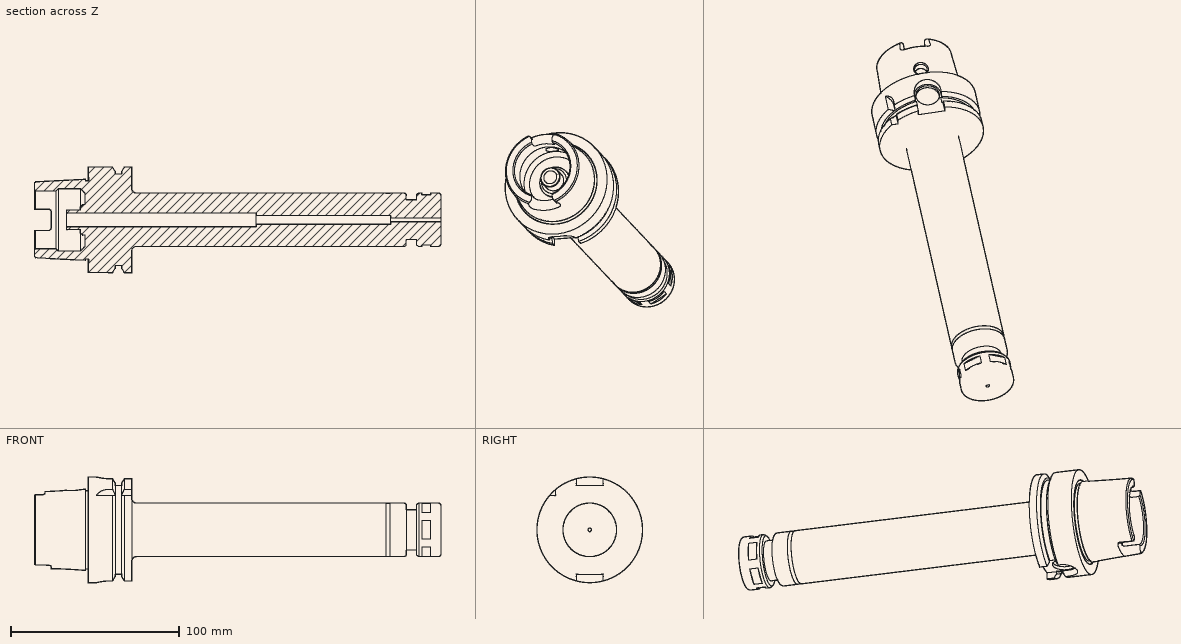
import cadquery as cq
import math


shank_length = 32.0
taper_ratio = 0.05
taper_seat_radius = 24.3
shank_tip_radius = taper_seat_radius - taper_ratio * shank_length
tip_chamfer = 0.8
relief_length = 1.5
relief_radius = 23.4
face_recess_radius = 25.4
face_recess_depth = 0.3

flange_radius = 31.5
flange_length = 26.0
groove_center = 18.0
groove_width = 3.75
groove_radius = 27.5
groove_bevel_length = 1.6
groove_bevel_depth = 2.6

body_radius = 16.0
body_root_fillet = 2.7
body_end = 189.4
body_end_fillet = 1.6
band_start = 177.2
band_end = 179.5
band_depth = 0.1
neck_radius = 12.0
nut_start = 195.3
nut_end = 210.0
nut_radius = 16.0
nut_back_bevel_length = 1.4
nut_back_bevel_depth = 0.9
nut_front_fillet = 1.7

flat_count = 6
flat_start = 198.6
flat_length = 5.1
flat_distance = 15.0
first_flat_angle = 90.0

mouth_radius = 17.9
bore_radius = 17.1
mouth_bevel = 0.8
bore_straight_end = -19.2
undercut_radius = 18.5
undercut_bevel = 1.4
undercut_end = -4.5
floor_rim_radius = 15.8
floor_depth = -2.0

boss_radius = 9.2
boss_bevel = 1.5
boss_front = -4.8
tube_radius = 6.0
tube_tip = -13.0
tube_tip_bevel = 0.35
tube_passage = [
    (4.0, 100.0),
    (2.5, 180.0),
    (1.0, nut_end),
]

drive_slot_half_width = 6.3
drive_slot_flare = 3.0
drive_slot_flare_start = 18.0
drive_slot_inner = 8.0
drive_slot_floor_fillet = 1.5
top_drive_slot_depth = 6.3
bottom_drive_slot_depth = 9.9

access_hole_x = -8.9
access_hole_radius = 3.75
access_hole_mouth_radius = 4.785
access_hole_inner = 12.0
access_hole_cone_rise = 0.5

keyway_x = 13.0
keyway_radius = 8.0
keyway_floor = 26.5
keyway_pocket_radius = 7.0
keyway_pocket_depth = 2.0
notch_x = 12.2
notch_end_radius = 9.0
notch_offset = 20.3

cut_margin = 5.0
pick_margin = 0.01


def revolve_x(points):
    """Revolve an (X, radius) outline about the X axis."""
    return cq.Workplane("XY").polyline(points).close().revolve(360, (0, 0, 0), (1, 0, 0))


def fillet_ring(body, x, radius, fillet_radius):
    """Round the circular edge of the given radius that lies at X = x."""
    corner = cq.selectors.BoxSelector(
        (x - pick_margin, -radius - pick_margin, -radius - pick_margin),
        (x + pick_margin, radius + pick_margin, radius + pick_margin),
        boundingbox=True,
    )
    edges = [
        edge for edge in body.edges(corner).vals()
        if edge.geomType() == "CIRCLE" and abs(edge.radius() - radius) < pick_margin
    ]
    return body.newObject(edges).fillet(fillet_radius)


def outer_body():
    relief_start_radius = taper_seat_radius - taper_ratio * relief_length
    groove_start = groove_center - groove_width / 2
    groove_end = groove_center + groove_width / 2
    groove_shoulder = flange_radius - groove_bevel_depth
    body = revolve_x([
        (-shank_length, 0),
        (-shank_length, shank_tip_radius - tip_chamfer),
        (-shank_length + tip_chamfer, shank_tip_radius),
        (-relief_length, relief_start_radius),
        (-relief_length, relief_radius),
        (face_recess_depth, relief_radius),
        (face_recess_depth, face_recess_radius - face_recess_depth),
        (0, face_recess_radius),
        (0, flange_radius),
        (groove_start - groove_bevel_length, flange_radius),
        (groove_start, groove_shoulder),
        (groove_start, groove_radius),
        (groove_end, groove_radius),
        (groove_end, groove_shoulder),
        (groove_end + groove_bevel_length, flange_radius),
        (flange_length, flange_radius),
        (flange_length, body_radius),
        (band_start, body_radius),
        (band_start, body_radius - band_depth),
        (band_end, body_radius - band_depth),
        (band_end, body_radius),
        (body_end, body_radius),
        (body_end, neck_radius),
        (nut_start, neck_radius),
        (nut_start, nut_radius - nut_back_bevel_depth),
        (nut_start + nut_back_bevel_length, nut_radius),
        (nut_end, nut_radius),
        (nut_end, 0),
    ])
    body = fillet_ring(body, flange_length, body_radius, body_root_fillet)
    body = fillet_ring(body, body_end, body_radius, body_end_fillet)
    return fillet_ring(body, nut_end, nut_radius, nut_front_fillet)


def bore():
    """Hollow of the shank around the coolant tube, with the passage through to the nut."""
    points = [
        (-shank_length, 0),
        (-shank_length, mouth_radius),
        (-shank_length + mouth_bevel, bore_radius),
        (bore_straight_end, bore_radius),
        (bore_straight_end + undercut_bevel, undercut_radius),
        (undercut_end, undercut_radius),
        (floor_depth, floor_rim_radius),
        (floor_depth, boss_radius),
        (boss_front + boss_bevel, boss_radius),
        (boss_front, boss_radius - boss_bevel),
        (boss_front, tube_radius),
        (tube_tip + tube_tip_bevel, tube_radius),
        (tube_tip, tube_radius - tube_tip_bevel),
    ]
    step_start = tube_tip
    for radius, step_end in tube_passage:
        points.append((step_start, radius))
        points.append((step_end, radius))
        step_start = step_end
    points.append((nut_end, 0))
    return revolve_x(points)


def drive_slot(depth):
    """Slot open to +Z and to the shank tip, with rounded outer edges."""
    flare_y = drive_slot_half_width + drive_slot_flare
    flare_z = drive_slot_flare_start + drive_slot_flare
    arc_in = drive_slot_flare * (1 - math.sqrt(0.5))
    arc_up = drive_slot_flare * math.sqrt(0.5)
    arc_y = drive_slot_half_width + arc_in
    arc_z = drive_slot_flare_start + arc_up
    slot_top = shank_tip_radius + cut_margin
    return (
        cq.Workplane("YZ", origin=(-shank_length - cut_margin, 0, 0))
        .moveTo(-drive_slot_half_width, drive_slot_inner)
        .lineTo(drive_slot_half_width, drive_slot_inner)
        .lineTo(drive_slot_half_width, drive_slot_flare_start)
        .threePointArc((arc_y, arc_z), (flare_y, flare_z))
        .lineTo(flare_y, slot_top)
        .lineTo(-flare_y, slot_top)
        .lineTo(-flare_y, flare_z)
        .threePointArc((-arc_y, arc_z), (-drive_slot_half_width, drive_slot_flare_start))
        .close()
        .extrude(depth + cut_margin)
        .faces(">X").edges("|Z").fillet(drive_slot_floor_fillet)
    )


def access_hole():
    mouth_bevel_depth = access_hole_mouth_radius - access_hole_radius
    surface_z = taper_seat_radius + taper_ratio * access_hole_x
    hole = (
        cq.Workplane("XY", origin=(access_hole_x, 0, access_hole_inner))
        .circle(access_hole_radius)
        .extrude(surface_z + cut_margin - access_hole_inner)
    )
    cone_height = mouth_bevel_depth + access_hole_cone_rise
    cone = cq.Solid.makeCone(
        access_hole_radius,
        access_hole_radius + cone_height,
        cone_height,
        cq.Vector(access_hole_x, 0, surface_z - mouth_bevel_depth),
    )
    return hole.union(cq.Workplane(cone))


def round_ended_slot(x_center, y_center, radius, floor):
    """Slot with a round -X end, open through the +X side of the flange."""
    height = flange_radius + cut_margin - floor
    run = flange_length + cut_margin - x_center
    round_end = (
        cq.Workplane("XY", origin=(x_center, y_center, floor))
        .circle(radius)
        .extrude(height)
    )
    straight = (
        cq.Workplane("XY")
        .box(run, 2 * radius, height, centered=(False, True, False))
        .translate((x_center, y_center, floor))
    )
    return round_end.union(straight)


def keyway():
    pocket = (
        cq.Workplane("XY", origin=(keyway_x, 0, keyway_floor - keyway_pocket_depth))
        .circle(keyway_pocket_radius)
        .extrude(keyway_pocket_depth)
    )
    return round_ended_slot(keyway_x, 0, keyway_radius, keyway_floor).union(pocket)


def orientation_notch():
    """Corner notch with one wall facing -Y and a floor facing +Z."""
    y_center = -notch_offset - notch_end_radius
    return round_ended_slot(notch_x, y_center, notch_end_radius, notch_offset)


def wrench_flat(angle):
    """Cutting block for one flat, turned about the X axis."""
    depth = nut_radius + cut_margin - flat_distance
    return (
        cq.Workplane("XY")
        .box(flat_length, 2 * nut_radius, depth, centered=(False, True, False))
        .translate((flat_start, 0, flat_distance))
        .rotate((0, 0, 0), (1, 0, 0), angle)
    )


def half_turn(shape):
    return shape.rotate((0, 0, 0), (1, 0, 0), 180)


result = outer_body().cut(bore())
result = result.cut(drive_slot(top_drive_slot_depth))
result = result.cut(half_turn(drive_slot(bottom_drive_slot_depth)))
result = result.cut(access_hole())
result = result.cut(keyway())
result = result.cut(half_turn(keyway()))
result = result.cut(orientation_notch())
for index in range(flat_count):
    result = result.cut(wrench_flat(first_flat_angle + index * 360 / flat_count))